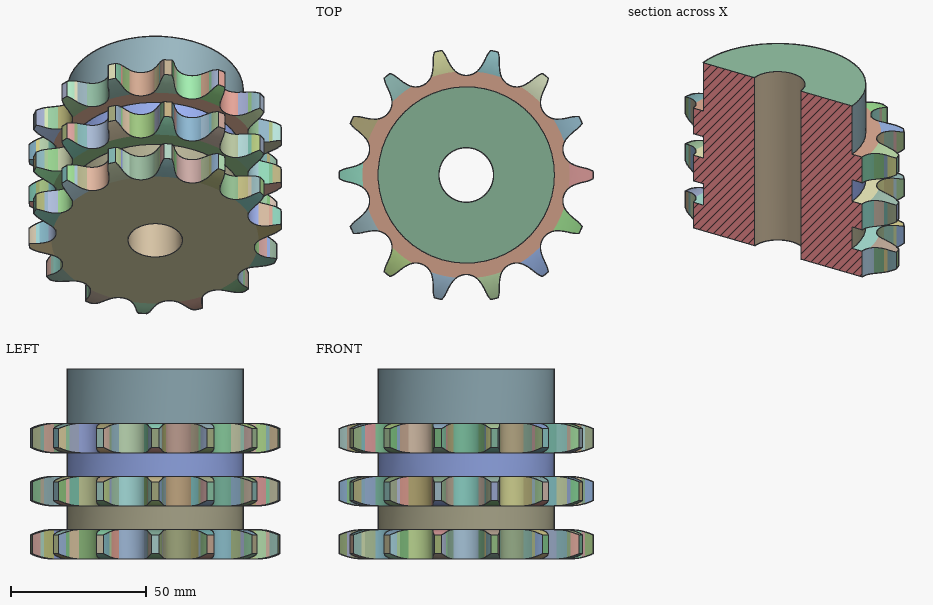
import cadquery as cq
import math


tooth_count = 14
row_count = 3
outside_radius = 46.8
total_height = 70.0
hub_diameter = 65.0
hub_projection = 20.0
bore_diameter = 20.0

row_thickness = 10.9
row_spacing = (total_height - hub_projection - row_thickness) / (row_count - 1)
relief_drop = 2.0
relief_radius = 20.0

pitch_radius = 42.8
roller_diameter = 12.1
tooth_angle = 360 / tooth_count
half_tooth_angle = tooth_angle / 2
working_start_angle = 35 + 60 / tooth_count
working_sweep = 18 - 56 / tooth_count
flank_angle = working_start_angle - working_sweep
working_center_distance = 0.8 * roller_diameter
topping_center_distance = 1.4 * roller_diameter
seat_radius = 0.5025 * roller_diameter
working_radius = seat_radius + working_center_distance
topping_radius = (
    working_center_distance * math.cos(math.radians(working_sweep))
    + topping_center_distance * math.cos(math.radians(flank_angle - half_tooth_angle))
    - working_radius
)


def polar(radius, degrees, center=(0, 0)):
    """Point at a radius and angle about a center."""
    angle = math.radians(degrees)
    return (center[0] + radius * math.cos(angle), center[1] + radius * math.sin(angle))


def rotate(point, degrees):
    """Point turned about the sprocket axis."""
    angle = math.radians(degrees)
    x, y = point
    return (x * math.cos(angle) - y * math.sin(angle), x * math.sin(angle) + y * math.cos(angle))


def mirror(point):
    """Point reflected across the center line of the gap."""
    return (-point[0], point[1])


def gap_flank():
    """Points of the right flank of a gap centered on +Y, from seat to tooth tip."""
    seat_center = (0, pitch_radius)
    working_center = polar(working_center_distance, 180 - working_start_angle, seat_center)
    topping_center = polar(topping_center_distance, -half_tooth_angle, seat_center)

    seat_end = polar(seat_radius, -working_start_angle, seat_center)
    working_mid = polar(working_radius, -working_start_angle + working_sweep / 2, working_center)
    working_end = polar(working_radius, -flank_angle, working_center)
    topping_start_angle = 180 - flank_angle
    topping_start = polar(topping_radius, topping_start_angle, topping_center)

    center_radius = math.hypot(*topping_center)
    center_angle = math.degrees(math.atan2(topping_center[1], topping_center[0]))
    tip_offset = math.degrees(math.acos(
        (outside_radius**2 - center_radius**2 - topping_radius**2)
        / (2 * center_radius * topping_radius)
    ))
    tip_angle = center_angle + tip_offset
    topping_mid = polar(topping_radius, (topping_start_angle + tip_angle) / 2, topping_center)
    tip = polar(topping_radius, tip_angle, topping_center)
    return [seat_end, working_mid, working_end, topping_start, topping_mid, tip]


def tooth_outline():
    """Closed outline of all teeth, with one tooth centered on +X."""
    right = gap_flank()
    left = [mirror(point) for point in right]
    seat_bottom = (0, pitch_radius - seat_radius)
    gap = right[::-1] + [seat_bottom] + left
    first_gap_angle = half_tooth_angle - 90

    outline = cq.Workplane("XY").moveTo(*rotate(right[-1], first_gap_angle))
    for index in range(tooth_count):
        turn = first_gap_angle + index * tooth_angle
        points = [rotate(point, turn) for point in gap]
        tip_mid = polar(outside_radius, (index + 1) * tooth_angle)
        next_tip = rotate(right[-1], turn + tooth_angle)
        outline = (
            outline
            .threePointArc(points[1], points[2])
            .lineTo(*points[3])
            .threePointArc(points[4], points[5])
            .threePointArc(points[6], points[7])
            .threePointArc(points[8], points[9])
            .lineTo(*points[10])
            .threePointArc(points[11], points[12])
            .threePointArc(tip_mid, next_tip)
        )
    return outline.close()


def row_blank():
    """Disc whose faces curve back towards the rim, tangent to the flat faces."""
    relief_sweep = math.degrees(math.acos(1 - relief_drop / relief_radius))
    flat_radius = outside_radius - relief_radius * math.sin(math.radians(relief_sweep))
    lower_center = (flat_radius, relief_radius)
    upper_center = (flat_radius, row_thickness - relief_radius)
    return (
        cq.Workplane("XZ")
        .moveTo(0, 0)
        .lineTo(flat_radius, 0)
        .threePointArc(
            polar(relief_radius, -90 + relief_sweep / 2, lower_center),
            (outside_radius, relief_drop),
        )
        .lineTo(outside_radius, row_thickness - relief_drop)
        .threePointArc(
            polar(relief_radius, 90 - relief_sweep / 2, upper_center),
            (flat_radius, row_thickness),
        )
        .lineTo(0, row_thickness)
        .close()
        .revolve(360, (0, 0, 0), (0, 1, 0))
    )


tooth_row = tooth_outline().extrude(row_thickness).intersect(row_blank())

result = cq.Workplane("XY").circle(hub_diameter / 2).extrude(total_height)
for row in range(row_count):
    result = result.union(tooth_row.translate((0, 0, row * row_spacing)))

bore = cq.Workplane("XY").circle(bore_diameter / 2).extrude(total_height)
result = result.cut(bore)